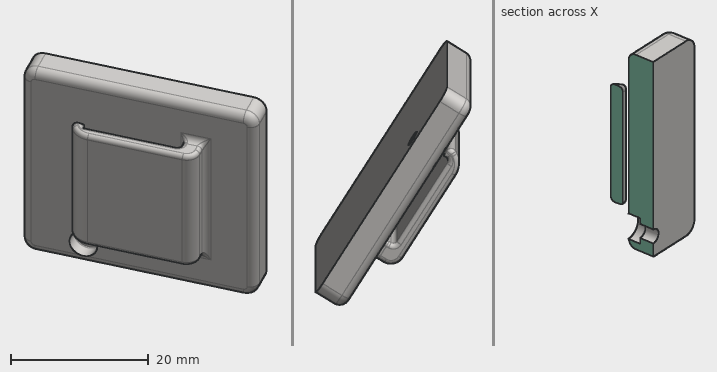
import cadquery as cq
import math

plate_width = 36.0
plate_height = 33.0
plate_thickness = 4.65
plate_corner_radius = 2.0
plate_front_fillet = 1.4

clip_reach = 4.0
clip_root_depth = 1.0
clip_height = 20.0
strip_thickness = 2.0
stem_right = 10.0
stem_width = 3.0
bend_outer_radius = 2.0
bend_inner_radius = 0.65
clip_edge_fillet = 0.7
stem_foot_fillet = 1.0
stem_inner_foot_fillet = 0.6

curl_start_x = -6.54
curl_radius = 3.25
curl_angle = 60.0
curl_inner_start_x = -7.4
tip_wall_length = 0.37
tip_radius = 0.72

hole_x = -8.55
hole_z = -13.05
hole_diameter = 2.3
counterbore_diameter = 4.25
counterbore_depth = 2.2
counterbore_floor_fillet = 0.13

tolerance = 0.02

front_y = -plate_thickness
clip_front_y = front_y - clip_reach
strip_back_y = clip_front_y + strip_thickness
stem_left = stem_right - stem_width


def make_plate():
    """Rounded rectangular plate with a rounded front rim."""
    block = cq.Workplane("XZ").rect(plate_width, plate_height).extrude(plate_thickness)
    block = block.edges("|Y").fillet(plate_corner_radius)
    return block.faces("<Y").edges().fillet(plate_front_fillet)


def polar(centre, radius, angle):
    """Point on a circle, with the angle in degrees from +X towards +Y."""
    turn = math.radians(angle)
    return (centre[0] + radius * math.cos(turn), centre[1] + radius * math.sin(turn))


def make_clip_strip():
    """Hook-shaped clip profile in XY, extruded along Z; its root is sunk into the plate."""
    root_y = front_y + clip_root_depth
    outer_bend = (stem_right - bend_outer_radius, clip_front_y + bend_outer_radius)
    inner_bend = (stem_left - bend_inner_radius, strip_back_y + bend_inner_radius)
    curl = (curl_start_x, clip_front_y + curl_radius)
    curl_end_angle = 270 - curl_angle
    curl_end = polar(curl, curl_radius, curl_end_angle)
    tip_wall_end = polar(curl_end, tip_wall_length, 180 - curl_angle)
    tip = polar(tip_wall_end, tip_radius, 90 - curl_angle)
    tip_y = tip[1] + tip_radius
    curl_inner = (curl_inner_start_x, strip_back_y + bend_inner_radius)
    profile = (
        cq.Workplane("XY")
        .moveTo(stem_left, root_y)
        .lineTo(stem_right, root_y)
        .lineTo(stem_right, outer_bend[1])
        .threePointArc(polar(outer_bend, bend_outer_radius, -45), (outer_bend[0], clip_front_y))
        .lineTo(curl_start_x, clip_front_y)
        .threePointArc(polar(curl, curl_radius, 270 - curl_angle / 2), curl_end)
        .lineTo(*tip_wall_end)
        .threePointArc(polar(tip, tip_radius, 180 - curl_angle / 2), (tip[0], tip_y))
        .lineTo(curl_inner[0] - bend_inner_radius, tip_y)
        .lineTo(curl_inner[0] - bend_inner_radius, curl_inner[1])
        .threePointArc(polar(curl_inner, bend_inner_radius, 225), (curl_inner[0], strip_back_y))
        .lineTo(inner_bend[0], strip_back_y)
        .threePointArc(polar(inner_bend, bend_inner_radius, -45), (stem_left, inner_bend[1]))
        .close()
    )
    return profile.extrude(clip_height / 2, both=True)


def box_around(centre, size):
    """Selector for edges whose centre lies in a box of the given centre and size."""
    low = tuple(c - s / 2 for c, s in zip(centre, size))
    high = tuple(c + s / 2 for c, s in zip(centre, size))
    return cq.selectors.BoxSelector(low, high)


def round_stem_foot(body):
    """Flare the stem into the plate, with a smaller radius on the side under the clip."""
    inner_edge = box_around((stem_left, front_y, 0), (tolerance, tolerance, clip_height))
    all_edges = box_around(
        ((stem_left + stem_right) / 2, front_y, 0),
        (stem_width + tolerance, tolerance, clip_height + tolerance),
    )
    body = body.edges(all_edges - inner_edge).fillet(stem_foot_fillet)
    return body.edges(inner_edge).fillet(stem_inner_foot_fillet)


def round_clip_ends(body):
    """Round the outline of both flat ends of the clip, leaving the tangent line of the foot."""
    for end_z in (-clip_height / 2, clip_height / 2):
        end_outline = box_around((0, clip_front_y, end_z), (plate_width, 2 * clip_reach, tolerance))
        foot_line = box_around(
            ((stem_left + stem_right) / 2, front_y - stem_foot_fillet, end_z),
            (stem_width / 2, tolerance, tolerance),
        )
        body = body.edges(end_outline - foot_line).fillet(clip_edge_fillet)
    return body


def cut_hole(body):
    """Through hole with a counterbore in the front face, rounded around its floor."""
    front = cq.Workplane("XZ", origin=(hole_x, front_y, hole_z))
    hole = front.circle(hole_diameter / 2).extrude(-plate_thickness)
    counterbore = front.circle(counterbore_diameter / 2).extrude(-counterbore_depth)
    counterbore = counterbore.faces(">Y").edges().fillet(counterbore_floor_fillet)
    return body.cut(hole).cut(counterbore)


result = make_plate().union(make_clip_strip())
result = round_stem_foot(result)
result = round_clip_ends(result)
result = cut_hole(result)